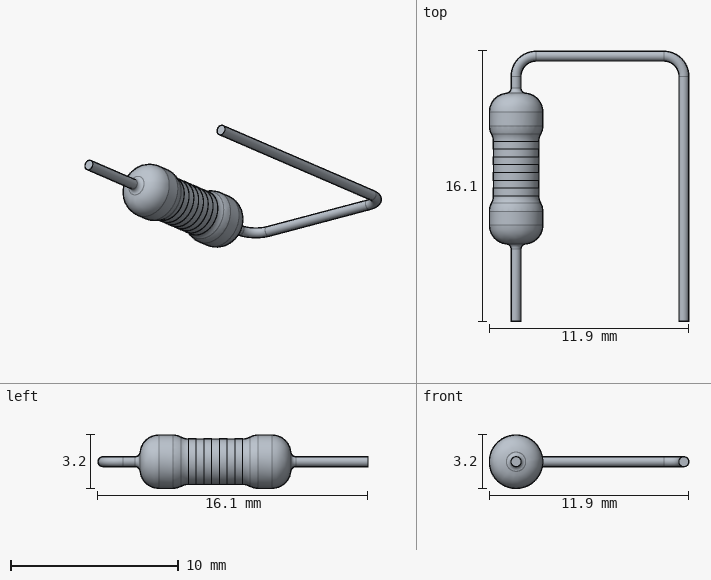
import cadquery as cq
import math


body_length = 9.0
body_diameter = 3.2
neck_diameter = 2.72
band_diameter = 2.74
lead_diameter = 0.6
lead_pitch = 10.0
lead_tip_y = -9.1
bend_start_y = 5.5

dome_radius = body_length / 8
root_radius = 0.3
shoulder_radius = 1.0
neck_fillet_radius = 0.9

neck_length = 3.24
raised_bands = 4
stretches = 2 * raised_bands - 1
band_width = neck_length / stretches

bend_radius = 2 * lead_diameter

body_radius = body_diameter / 2
neck_radius = neck_diameter / 2
lead_radius = lead_diameter / 2


def point_on_arc(center, radius, angle):
    """Point at the given angle (radians) on an arc in the (r, y) plane."""
    return (
        center[0] + radius * math.cos(angle),
        center[1] + radius * math.sin(angle),
    )


def body_end():
    """Revolved +Y bulb of the body, from the end of the neck to the root of the lead."""
    radius_sum = shoulder_radius + neck_fillet_radius
    rise = body_radius - neck_radius
    turn = math.acos(1 - rise / radius_sum)
    neck_end_y = neck_length / 2
    shoulder_y = neck_end_y + radius_sum * math.sin(turn)
    neck_center = (neck_radius + neck_fillet_radius, neck_end_y)
    shoulder_center = (body_radius - shoulder_radius, shoulder_y)

    dome_center = (body_radius - dome_radius, body_length / 2 - dome_radius)
    root_center_r = lead_radius + root_radius
    root_angle = math.acos((root_center_r - dome_center[0]) / (dome_radius + root_radius))
    root_center = point_on_arc(dome_center, dome_radius + root_radius, root_angle)
    root_y = root_center[1]

    profile = (
        cq.Workplane("XY")
        .moveTo(0, neck_end_y)
        .lineTo(neck_radius, neck_end_y)
        .threePointArc(
            point_on_arc(neck_center, neck_fillet_radius, math.pi - turn / 2),
            point_on_arc(neck_center, neck_fillet_radius, math.pi - turn),
        )
        .threePointArc(
            point_on_arc(shoulder_center, shoulder_radius, -turn / 2),
            (body_radius, shoulder_y),
        )
        .lineTo(body_radius, dome_center[1])
        .threePointArc(
            point_on_arc(dome_center, dome_radius, root_angle / 2),
            point_on_arc(dome_center, dome_radius, root_angle),
        )
        .threePointArc(
            point_on_arc(root_center, root_radius, math.pi + root_angle / 2),
            (lead_radius, root_y),
        )
        .lineTo(0, root_y)
        .close()
    )
    return profile.revolve(360, (0, 0, 0), (0, 1, 0))


def rod(diameter, start_y, end_y):
    """Round rod on the body axis between two levels along Y."""
    return (
        cq.Workplane("XZ", origin=(0, start_y, 0))
        .circle(diameter / 2)
        .extrude(start_y - end_y)
    )


def colour_bands():
    """Raised bands around the neck."""
    bands = cq.Workplane("XY")
    for index in range(raised_bands):
        start_y = -neck_length / 2 + 2 * index * band_width
        bands = bands.add(rod(band_diameter, start_y, start_y + band_width))
    return bands.combine()


def bent_lead():
    """Far lead: two right-angle bends, then straight back to the lead tip level."""
    crossbar_y = bend_start_y + bend_radius
    corner_offset = bend_radius * (1 - math.sqrt(0.5))
    corner_y = crossbar_y - corner_offset
    path = (
        cq.Workplane("XY")
        .moveTo(0, bend_start_y)
        .threePointArc((corner_offset, corner_y), (bend_radius, crossbar_y))
        .lineTo(lead_pitch - bend_radius, crossbar_y)
        .threePointArc((lead_pitch - corner_offset, corner_y), (lead_pitch, bend_start_y))
        .lineTo(lead_pitch, lead_tip_y)
    )
    section = cq.Workplane("XZ", origin=(0, bend_start_y, 0)).circle(lead_radius)
    return section.sweep(path)


neck = rod(neck_diameter, -neck_length / 2, neck_length / 2)
far_end = body_end()
near_end = far_end.mirror("XZ")
body = neck.union(far_end).union(near_end)
straight_lead = rod(lead_diameter, lead_tip_y, bend_start_y)

result = body.union(colour_bands()).union(straight_lead).union(bent_lead())